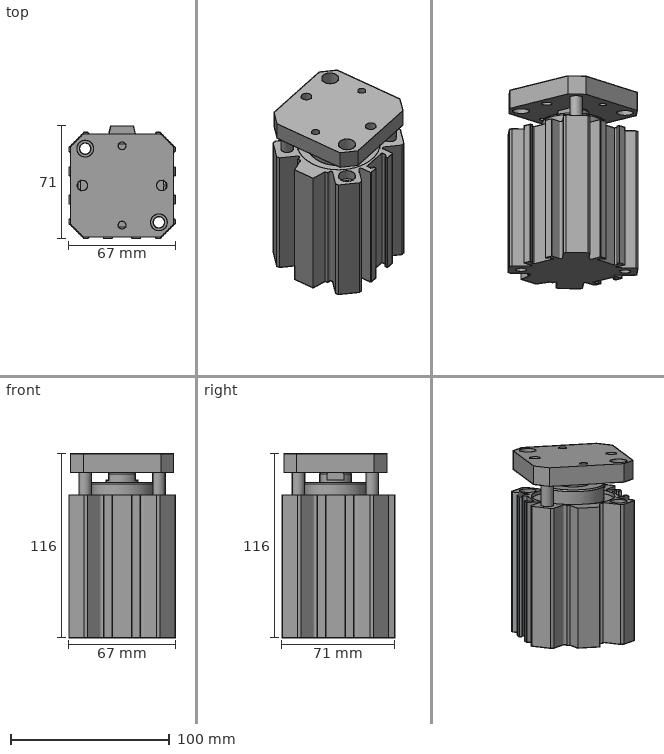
import cadquery as cq

total_height = 116.0
body_height = 90.0
plate_thickness = 12.0
plate_bottom = total_height - plate_thickness

body_width = 67.0
body_half = body_width / 2
body_corner_cut = 9.6
post_inner_edge = 21.7
flange_half_width = 11.7
flange_chamfer = 0.3
notch_floor = 25.3
notch_post_radius = 1.6
notch_flange_radius = 0.7

slot_mouth_half = 6.0
slot_half = 8.0
slot_floor = 27.8
lip_edge = 31.7
lip_step = 0.9

rail_top = 37.5
rail_top_half = 7.2
rail_taper = 0.25
rail_root_half = rail_top_half + rail_taper * (rail_top - slot_floor)

recess_diameter = 52.5
recess_depth = 2.2
boss_diameter = 39.0
boss_top = 97.9
boss_chamfer_height = 1.0
boss_chamfer_width = 0.5

corner_offset = 23.2
bolt_hole_diameter = 7.0
counterbore_diameter = 10.5
counterbore_depth = 6.6
bolt_places = [(-corner_offset, corner_offset), (corner_offset, -corner_offset)]
guide_places = [(-corner_offset, -corner_offset), (corner_offset, corner_offset)]

plate_width = 65.0
plate_corner_cut = 8.1
plate_hole_offset = 24.9
large_hole_diameter = 6.5
small_hole_diameter = 4.9
guide_diameter = 8.0
rod_diameter = 20.0
wrench_flat_width = 16.8
wrench_flat_length = 4.6
rod_chamfer_height = 0.7
rod_chamfer_width = 0.3


def cut_corner_block(width, corner_cut, height):
    """Square block on the XY plane whose vertical edges are cut at 45 degrees."""
    block = cq.Workplane("XY").rect(width, width).extrude(height)
    return block.edges("|Z").chamfer(corner_cut)


def vertical_edge(x, y):
    """Selector for the upright edge of a full-height block at one profile corner."""
    return cq.selectors.NearestToPointSelector((x, y, body_height / 2))


def post_notch():
    """Wedge with a rounded floor between a corner post and its flange, on the -Y side."""
    wall_shift = body_half - post_inner_edge
    floor_corner_x = wall_shift - notch_floor
    corners = [
        (-post_inner_edge, -body_half),
        (floor_corner_x, -notch_floor),
        (-flange_half_width, -notch_floor),
        (-flange_half_width, -body_half + flange_chamfer),
        (-flange_half_width + flange_chamfer, -body_half),
    ]
    return (
        cq.Workplane("XY")
        .polyline(corners)
        .close()
        .extrude(body_height)
        .edges(vertical_edge(floor_corner_x, -notch_floor))
        .fillet(notch_post_radius)
        .edges(vertical_edge(-flange_half_width, -notch_floor))
        .fillet(notch_flange_radius)
    )


def t_slot():
    """T-shaped slot on the -Y side, with bevelled lips."""
    bevel = slot_half - slot_mouth_half - lip_step
    right_half = [
        (slot_mouth_half + flange_chamfer, -body_half),
        (slot_mouth_half, -body_half + flange_chamfer),
        (slot_mouth_half, -lip_edge),
        (slot_mouth_half + lip_step, -lip_edge),
        (slot_half, -lip_edge + bevel),
        (slot_half, -slot_floor),
    ]
    left_half = [(-x, y) for x, y in reversed(right_half)]
    return cq.Workplane("XY").polyline(right_half + left_half).close().extrude(body_height)


def mounting_rail():
    """Tapered rail along the +Y side."""
    corners = [
        (-rail_root_half, slot_floor),
        (rail_root_half, slot_floor),
        (rail_top_half, rail_top),
        (-rail_top_half, rail_top),
    ]
    return cq.Workplane("XY").polyline(corners).close().extrude(body_height)


def make_housing():
    """Profiled cylinder body with its rail, recessed cap boss and bolt holes."""
    body = cut_corner_block(body_width, body_corner_cut, body_height)

    notch_pair = post_notch().union(post_notch().mirror("YZ"))
    for turn in range(4):
        body = body.cut(notch_pair.rotate((0, 0, 0), (0, 0, 1), 90 * turn))

    slot_turns = [-90, 0, 90]
    for angle in slot_turns:
        body = body.cut(t_slot().rotate((0, 0, 0), (0, 0, 1), angle))

    rail_bed_depth = body_half - slot_floor
    rail_bed = (
        cq.Workplane("XY")
        .center(0, slot_floor + rail_bed_depth / 2)
        .rect(2 * flange_half_width, rail_bed_depth)
        .extrude(body_height)
    )
    body = body.cut(rail_bed).union(mounting_rail())

    recess_floor = body_height - recess_depth
    recess = cq.Workplane("XY", origin=(0, 0, recess_floor)).circle(recess_diameter / 2).extrude(recess_depth)
    boss = (
        cq.Workplane("XY", origin=(0, 0, recess_floor))
        .circle(boss_diameter / 2)
        .extrude(boss_top - recess_floor)
        .faces(">Z")
        .chamfer(boss_chamfer_height, boss_chamfer_width)
    )
    body = body.cut(recess).union(boss)

    return (
        cq.Workplane(body.val())
        .copyWorkplane(cq.Workplane("XY", origin=(0, 0, body_height)))
        .pushPoints(bolt_places)
        .cboreHole(bolt_hole_diameter, counterbore_diameter, counterbore_depth)
    )


def plate_holes(points, diameter):
    """Holes right through the plate."""
    return (
        cq.Workplane("XY", origin=(0, 0, plate_bottom))
        .pushPoints(points)
        .circle(diameter / 2)
        .extrude(plate_thickness)
    )


def piston_rod():
    """Rod from the boss to the plate, with two wrench flats facing -X and +X."""
    rod = (
        cq.Workplane("XY", origin=(0, 0, boss_top))
        .circle(rod_diameter / 2)
        .extrude(plate_bottom - boss_top)
        .faces(">Z")
        .chamfer(rod_chamfer_height, rod_chamfer_width)
    )
    flat_depth = (rod_diameter - wrench_flat_width) / 2
    flat_center = (wrench_flat_width + flat_depth) / 2
    flats = (
        cq.Workplane("XY", origin=(0, 0, plate_bottom - wrench_flat_length))
        .pushPoints([(-flat_center, 0), (flat_center, 0)])
        .rect(flat_depth, rod_diameter)
        .extrude(wrench_flat_length)
    )
    return rod.cut(flats)


def make_moving_plate():
    """Plate with its piston rod and two guide rods, which end on the housing."""
    plate = cut_corner_block(plate_width, plate_corner_cut, plate_thickness)
    plate = plate.translate((0, 0, plate_bottom))

    large_places = [(-plate_hole_offset, 0), (plate_hole_offset, 0)]
    small_places = [(0, -plate_hole_offset), (0, plate_hole_offset)]
    plate = plate.cut(plate_holes(large_places, large_hole_diameter))
    plate = plate.cut(plate_holes(small_places, small_hole_diameter))
    plate = plate.cut(plate_holes(bolt_places, counterbore_diameter))

    guides = (
        cq.Workplane("XY", origin=(0, 0, body_height))
        .pushPoints(guide_places)
        .circle(guide_diameter / 2)
        .extrude(plate_bottom - body_height)
    )
    return plate.union(guides).union(piston_rod())


housing = make_housing()
moving_plate = make_moving_plate()

result = cq.Compound.makeCompound([housing.val(), moving_plate.val()])